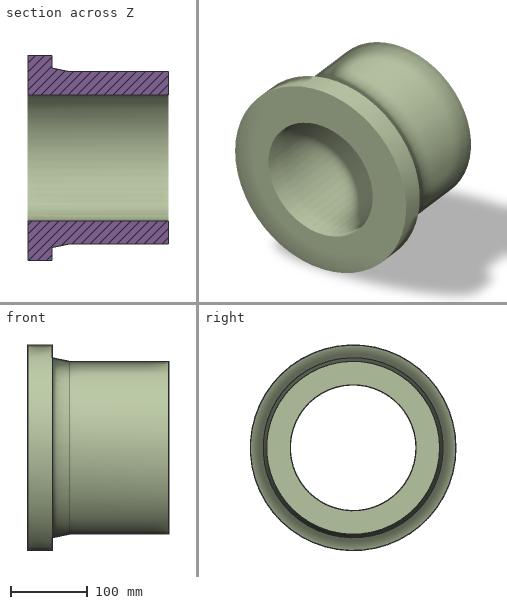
import cadquery as cq

total_length = 184.0
flange_diameter = 268
flange_thickness = 32.2
taper_diameter = 234.5
taper_length = 22.5
sleeve_diameter = 225
bore_diameter = 163.5

sleeve_start = flange_thickness + taper_length
sleeve_length = total_length - sleeve_start

flange = cq.Workplane("YZ").circle(flange_diameter / 2).extrude(flange_thickness)

taper = (
    cq.Workplane("YZ", origin=(flange_thickness, 0, 0))
    .circle(taper_diameter / 2)
    .workplane(offset=taper_length)
    .circle(sleeve_diameter / 2)
    .loft(ruled=True)
)

sleeve = (
    cq.Workplane("YZ", origin=(sleeve_start, 0, 0))
    .circle(sleeve_diameter / 2)
    .extrude(sleeve_length)
)

bore = cq.Workplane("YZ").circle(bore_diameter / 2).extrude(total_length)

result = flange.union(taper).union(sleeve).cut(bore)